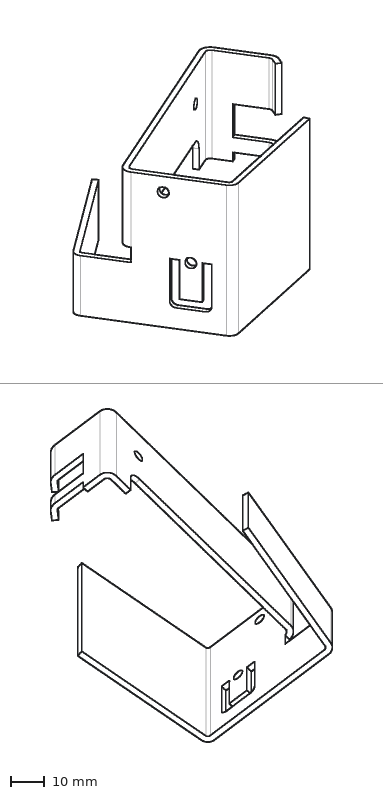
import cadquery as cq
import math

thickness = 2.0
height = 50.0
depth = 85.0
width = 67.27

wing_angle = math.radians(10)
wing_length = 49.4
wing_bend_radius = 1.0
left_wing_height = 20.0
half_front = width / 2 - wing_length * math.sin(wing_angle)

hook_x = -10.5
hook_bend_radius = 1.5
hook_bend_outer = hook_bend_radius + thickness
hook_bottom = 14.0
side_plate_bottom = 25.0
leg_width = 10.0
leg_fillet = 4.0
flange_corner = 23.0
lip_angle = math.radians(55)
lip_length = 4.8

lower_tongue_bottom = 17.0
lower_tongue_top = 22.0
upper_tongue_bottom = 33.0

hole_diameter = 3.5
front_hole_x = hook_x + 13.5
front_hole_z = 44.75
side_hole_y = depth - 13.5
side_hole_z = 37.5
tab_x = hook_x + 22.0
tab_width = 7.0
tab_bottom = 10.0
slot_width = 3.0
window_bottom = tab_bottom - slot_width
window_top = 23.0
window_corner_radius = 2.0
tab_hole_z = 22.5


def box(x_range, y_range, z_range):
    """Axis-aligned block between the given limits."""
    lows, highs = zip(x_range, y_range, z_range)
    sizes = [high - low for low, high in zip(lows, highs)]
    return cq.Workplane("XY").box(*sizes, centered=False).translate(lows)


def inner_point(before, corner, after):
    """Sharp inside corner of a sheet whose outer face turns at `corner`; the sheet lies on the left."""
    angle_in = math.atan2(corner[1] - before[1], corner[0] - before[0])
    angle_out = math.atan2(after[1] - corner[1], after[0] - corner[0])
    half_turn = math.remainder(angle_out - angle_in, 2 * math.pi) / 2
    normal = angle_in + half_turn + math.pi / 2
    reach = thickness / math.cos(half_turn)
    return corner[0] + reach * math.cos(normal), corner[1] + reach * math.sin(normal)


def end_point(end, start, finish):
    """Inside corner at a square-cut `end` of the stretch running from `start` to `finish`."""
    normal = math.atan2(finish[1] - start[1], finish[0] - start[0]) + math.pi / 2
    return end[0] + thickness * math.cos(normal), end[1] + thickness * math.sin(normal)


def bent_sheet(outer, inside_radius, bottom, top):
    """Vertical sheet following the `outer` face points, with every bend rounded."""
    inner = [end_point(outer[0], outer[0], outer[1])]
    for before, corner, after in zip(outer, outer[1:], outer[2:]):
        inner.append(inner_point(before, corner, after))
    inner.append(end_point(outer[-1], outer[-2], outer[-1]))

    sheet = cq.Workplane("XY").workplane(offset=bottom).polyline(outer + inner[::-1]).close()
    sheet = sheet.extrude(top - bottom)
    middle = (bottom + top) / 2
    for points, radius in ((outer, inside_radius + thickness), (inner, inside_radius)):
        for x, y in points[1:-1]:
            corner_edge = cq.selectors.NearestToPointSelector((x, y, middle))
            sheet = sheet.edges("|Z").edges(corner_edge).fillet(radius)
    return sheet


def make_cradle():
    """Front plate and wings, cut away above the short left wing."""
    wing_end_y = wing_length * math.cos(wing_angle)
    outer = [
        (-width / 2, wing_end_y),
        (-half_front, 0),
        (half_front, 0),
        (width / 2, wing_end_y),
    ]
    cradle = bent_sheet(outer, wing_bend_radius, 0, height)
    return cradle.cut(box((-width, hook_x + hook_bend_outer), (-depth, depth), (left_wing_height, height)))


def make_hook():
    """Side plate, back flange and lip, with the leg at the back corner and the two tongues."""
    lip_corner_x = hook_x + flange_corner
    lip_end = (
        lip_corner_x + lip_length * math.cos(lip_angle),
        depth - lip_length * math.sin(lip_angle),
    )
    outer = [
        lip_end,
        (lip_corner_x, depth),
        (hook_x, depth),
        (hook_x, 0),
        (tab_x, 0),
    ]
    hook = bent_sheet(outer, hook_bend_radius, hook_bottom, height)

    below_side_plate = box((-width, width), (-depth, depth - leg_width), (0, side_plate_bottom))
    hook = hook.cut(below_side_plate.edges(">Y and >Z").fillet(leg_fillet))

    tongue_x = (hook_x + leg_width, width)
    tongue_y = (depth - leg_width, depth)
    for gap in ((0, lower_tongue_bottom), (lower_tongue_top, upper_tongue_bottom)):
        hook = hook.cut(box(tongue_x, tongue_y, gap))
    return hook


def make_tab_window():
    """U-shaped slot that frees the spring tab in the front plate."""
    half_window = tab_width / 2 + slot_width
    across = (-thickness, 2 * thickness)
    window = box((tab_x - half_window, tab_x + half_window), across, (window_bottom, window_top))
    window = window.edges("|Y and <Z").fillet(window_corner_radius)
    return window.cut(box((tab_x - tab_width / 2, tab_x + tab_width / 2), across, (tab_bottom, window_top)))


def front_hole(x, z):
    """Drill through the front plate."""
    drill = cq.Workplane("XZ").center(x, z).circle(hole_diameter / 2)
    return drill.extrude(2 * thickness, both=True)


def side_hole(y, z):
    """Drill through the side plate."""
    drill = cq.Workplane("YZ", origin=(hook_x, 0, 0)).center(y, z).circle(hole_diameter / 2)
    return drill.extrude(2 * thickness, both=True)


result = make_cradle().union(make_hook())
result = result.cut(make_tab_window())
result = result.cut(front_hole(front_hole_x, front_hole_z))
result = result.cut(front_hole(tab_x, tab_hole_z))
result = result.cut(side_hole(side_hole_y, side_hole_z))